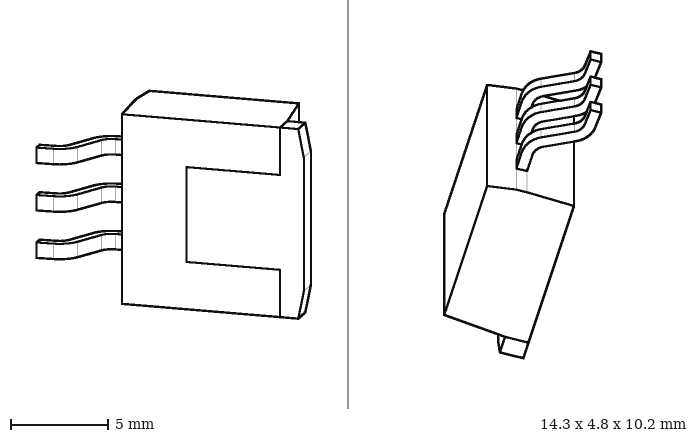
import cadquery as cq
import math

length = 14.35
height = 10.16

housing_depth = 4.64
housing_left = 4.42
housing_right = 13.07
front_left = 4.55
back_left = 4.62
back_right = 12.67

tab_thickness = 1.26
pad_left = 8.02
pad_height = height / 2
corner_length = 0.3
corner_height = 1.5

lead_count = 3
lead_pitch = 2.54
lead_width = 0.83
lead_thickness = 0.57
lead_front = 2.55
lead_back = lead_front + lead_thickness
tip_front = -0.16
foot_length = 0.88
foot_tilt = math.radians(3)
shoulder_x = 3.43
inner_radius = 0.72
outer_radius = inner_radius + lead_thickness


def make_tab():
    """Flat tab with two cut corners and a narrower pad set into the housing."""
    half_height = height / 2
    half_pad = pad_height / 2
    corner_x = length - corner_length
    corner_z = half_height - corner_height
    outline = [
        (pad_left, -half_pad),
        (housing_right, -half_pad),
        (housing_right, -half_height),
        (corner_x, -half_height),
        (length, -corner_z),
        (length, corner_z),
        (corner_x, half_height),
        (housing_right, half_height),
        (housing_right, half_pad),
        (pad_left, half_pad),
    ]
    return cq.Workplane("XZ").polyline(outline).close().extrude(-tab_thickness)


def make_housing(tab):
    """Block with drafted ends, recessed to receive the tab's pad."""
    outline = [
        (front_left, 0),
        (housing_right, 0),
        (housing_right, tab_thickness),
        (back_right, housing_depth),
        (back_left, housing_depth),
        (housing_left, lead_back),
        (housing_left, lead_front),
    ]
    block = cq.Workplane("XY").polyline(outline).close().extrude(height / 2, both=True)
    return block.cut(tab)


def on_circle(center, radius, angle):
    """Point on a bend whose tangent runs at the given angle; a negative radius is below the center."""
    return (center[0] - radius * math.sin(angle), center[1] + radius * math.cos(angle))


def make_lead(z_center):
    """Gull-wing lead: tilted foot, two opposite bends and a straight shoulder."""
    tip_back = tip_front + lead_thickness / math.cos(foot_tilt)
    foot_end = (foot_length, tip_back + foot_length * math.tan(foot_tilt))
    lower = on_circle(foot_end, inner_radius, foot_tilt)
    upper = (shoulder_x, lead_front - inner_radius)

    span_x = upper[0] - lower[0]
    span_y = upper[1] - lower[1]
    radius_sum = inner_radius + outer_radius
    leg_angle = math.atan2(span_y, span_x) + math.asin(radius_sum / math.hypot(span_x, span_y))
    lower_middle = (foot_tilt + leg_angle) / 2
    upper_middle = leg_angle / 2

    profile = (
        cq.Workplane("XY", origin=(0, 0, z_center))
        .moveTo(0, tip_front)
        .lineTo(*on_circle(lower, -outer_radius, foot_tilt))
        .threePointArc(
            on_circle(lower, -outer_radius, lower_middle),
            on_circle(lower, -outer_radius, leg_angle),
        )
        .lineTo(*on_circle(upper, inner_radius, leg_angle))
        .threePointArc(on_circle(upper, inner_radius, upper_middle), (shoulder_x, lead_front))
        .lineTo(housing_left, lead_front)
        .lineTo(housing_left, lead_back)
        .lineTo(shoulder_x, lead_back)
        .threePointArc(
            on_circle(upper, outer_radius, upper_middle),
            on_circle(upper, outer_radius, leg_angle),
        )
        .lineTo(*on_circle(lower, -inner_radius, leg_angle))
        .threePointArc(on_circle(lower, -inner_radius, lower_middle), foot_end)
        .lineTo(0, tip_back)
        .close()
    )
    return profile.extrude(lead_width / 2, both=True)


tab = make_tab()
housing = make_housing(tab)
leads = []
for index in range(lead_count):
    lead_z = (index - (lead_count - 1) / 2) * lead_pitch
    leads.append(make_lead(lead_z).val())

result = cq.Compound.makeCompound([housing.val(), tab.val(), *leads])